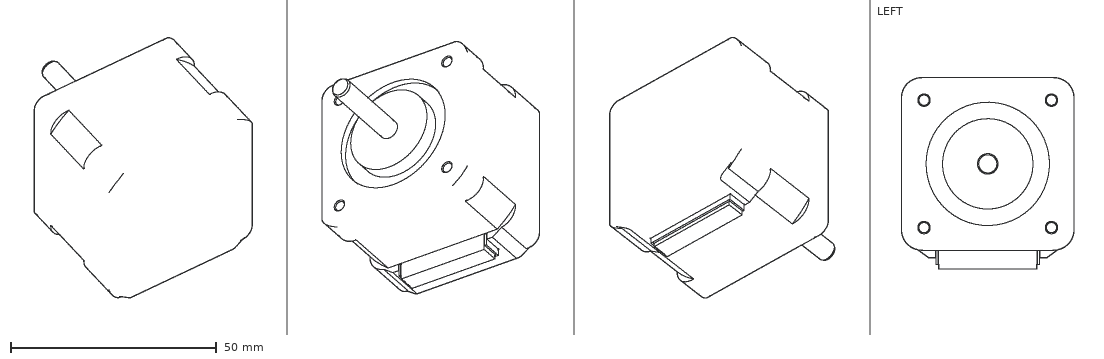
import cadquery as cq
import math


body_side = 42.0
overall_height = 46.6
body_half = body_side / 2
body_length = 34.0
front_cap_length = 7.95
rear_cap_start = 22.4
rear_cap_length = body_length - rear_cap_start
cap_corner_radius = 5.0
cap_edge_radius = 1.0
core_corner_setback = 5.3

overall_length = 58
shaft_length = overall_length - body_length
shaft_diameter = 5.0
shaft_chamfer_length = 0.6
shaft_chamfer_depth = 0.3
pilot_diameter = 22.0
pilot_height = 2.0
recess_diameter = 30.0
recess_depth = 2.0

hole_pitch = 31.0
hole_diameter = 2.5
hole_mouth_diameter = 3.0
hole_depth = 4.5
drill_point_angle = 118

bulge_drop = 1.85
bulge_bottom_width = 28.65
bulge_top_width = 33.75

housing_width = 25.2
housing_length = 5.4
housing_drop = 3.5
plug_width = 23.9
plug_length = 4.9
plug_drop = overall_height - body_side
connector_gap = 0.2


def block(x_start, length, width, z_bottom, z_top):
    """Box centred on the XZ plane."""
    return (
        cq.Workplane("XY")
        .box(length, width, z_top - z_bottom, centered=(False, True, False))
        .translate((x_start, 0, z_bottom))
    )


def rod(x_start, length, diameter):
    """Cylinder on the shaft axis."""
    return cq.Workplane("YZ", origin=(x_start, 0, 0)).circle(diameter / 2).extrude(length)


def square_block(x_start, length):
    """Sharp-cornered block with the full body section."""
    return block(x_start, length, body_side, -body_half, body_half)


def cap(x_start, length, outer_face):
    """End cap: outer face edges rounded first, then the long corners cut round."""
    edged = square_block(x_start, length).faces(outer_face).edges().fillet(cap_edge_radius)
    section = square_block(x_start, length).edges("|X").fillet(cap_corner_radius)
    return edged.intersect(section)


def core():
    """Laminated core: a square whose corners are turned to one common diameter."""
    length = rear_cap_start - front_cap_length
    turned_radius = math.hypot(body_half, body_half - core_corner_setback)
    turned = rod(front_cap_length, length, 2 * turned_radius)
    return square_block(front_cap_length, length).intersect(turned)


def shaft():
    """Shaft with a chamfered tip, starting at the bottom of the recess."""
    radius = shaft_diameter / 2
    outline = [
        (recess_depth, 0),
        (recess_depth, radius),
        (shaft_chamfer_length - shaft_length, radius),
        (-shaft_length, radius - shaft_chamfer_depth),
        (-shaft_length, 0),
    ]
    return cq.Workplane("XY").polyline(outline).close().revolve(360, (0, 0, 0), (1, 0, 0))


def screw_hole(y, z):
    """Blind drilled hole with a conical bottom and a chamfered mouth."""
    radius = hole_diameter / 2
    mouth_radius = hole_mouth_diameter / 2
    point_length = radius / math.tan(math.radians(drill_point_angle / 2))
    outline = [
        (0, 0),
        (0, mouth_radius),
        (mouth_radius - radius, radius),
        (hole_depth, radius),
        (hole_depth + point_length, 0),
    ]
    cutter = cq.Workplane("XY").polyline(outline).close().revolve(360, (0, 0, 0), (1, 0, 0))
    return cutter.translate((0, y, z))


def bulge():
    """Trapezoidal bulge under the rear cap, rounded along its rear bottom edge."""
    bottom = -body_half - bulge_drop
    slope = (bulge_top_width - bulge_bottom_width) / 2 / bulge_drop
    top = -body_half + bulge_drop
    half_top = bulge_bottom_width / 2 + slope * (top - bottom)
    outline = [
        (-half_top, top),
        (-bulge_bottom_width / 2, bottom),
        (bulge_bottom_width / 2, bottom),
        (half_top, top),
    ]
    solid = (
        cq.Workplane("YZ", origin=(rear_cap_start, 0, 0))
        .polyline(outline)
        .close()
        .extrude(rear_cap_length)
    )
    return solid.faces("<Z").edges(">X").fillet(cap_edge_radius)


def connector_part(width, length, drop):
    """One block of the connector, hanging below the body from the front of the rear cap."""
    return block(rear_cap_start, length, width, -body_half - drop, -body_half)


def connector(bulge_solid):
    """Bulge with the housing set in its pocket and the plug set in the housing."""
    pocket = connector_part(housing_width + 2 * connector_gap, housing_length, housing_drop)
    housing = connector_part(housing_width, housing_length, housing_drop)
    socket = connector_part(plug_width + 2 * connector_gap, plug_length, housing_drop)
    plug = connector_part(plug_width, plug_length, plug_drop)
    return bulge_solid.cut(pocket).union(housing.cut(socket)).union(plug)


motor = cap(0, front_cap_length, "<X")
motor = motor.union(core())
motor = motor.union(cap(rear_cap_start, rear_cap_length, ">X"))
motor = motor.union(connector(bulge()))

motor = motor.cut(rod(0, recess_depth, recess_diameter))
motor = motor.union(rod(-pilot_height, pilot_height + recess_depth, pilot_diameter))
motor = motor.union(shaft())

for side_y in (-1, 1):
    for side_z in (-1, 1):
        motor = motor.cut(screw_hole(side_y * hole_pitch / 2, side_z * hole_pitch / 2))

result = motor